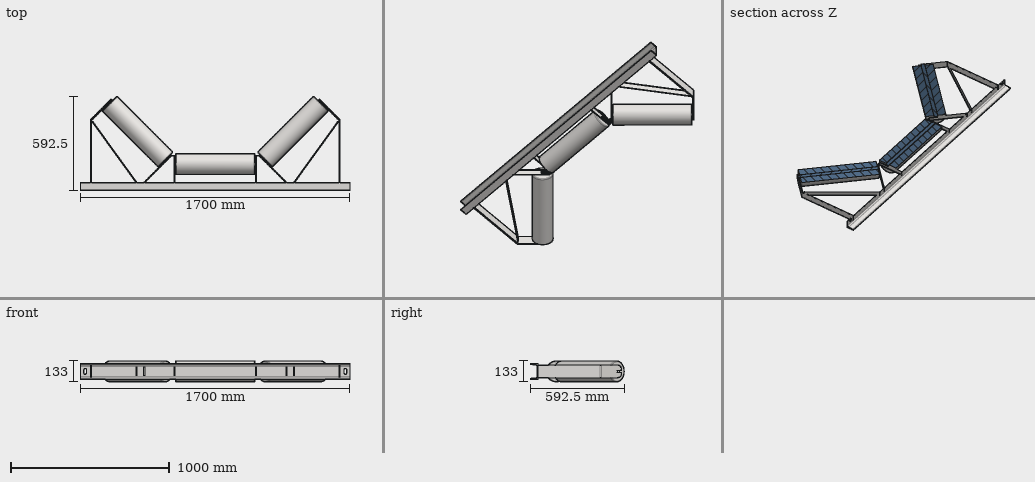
import cadquery as cq
import math

BEAM_LENGTH = 1700.0
BEAM_DEPTH = 50.0
BEAM_WIDTH = 100.0
WEB_THICKNESS = 6.0
FLANGE_THICKNESS = 8.0
FLANGE_SLOPE = 0.08
FLANGE_ROOT_RADIUS = 8.0
FLANGE_TIP_RADIUS = 4.2
MOUNT_SLOT_WIDTH = 15.0
MOUNT_SLOT_LENGTH = 35.0
MOUNT_SLOT_INSET = 30.0

ROLLER_LENGTH = 500.0
ROLLER_DIAMETER = 133.0
ROLLER_EDGE_RADIUS = 5.0
TROUGH_ANGLE = 45.0
CENTRE_ROLLER_Y = 165.0
WING_INNER_X = 313.0
WING_INNER_Y = 194.0
SHAFT_DIAMETER = 20.0
SHAFT_FLAT_WIDTH = 14.0
CENTRE_END_GAP = 3.0
WING_END_GAP = 4.2

INNER_WIDTH = 55.0
INNER_THICKNESS = 5.0
INNER_TOP_Y = 221.0

OUTER_WIDTH = 80.0
OUTER_THICKNESS = 8.0
OUTER_POST_X = 787.0
ARM_TIP_REACH = 27.0
ARM_TIP_RADIUS = 30.0
BEND_RADIUS = 15.0
STRUT_WIDTH = 55.0
STRUT_THICKNESS = 5.0
STRUT_FOOT_X = 496.0
STRUT_TOP_X = 775.0
STRUT_TOP_Y = 435.0

CENTRE_OVERHANG = CENTRE_END_GAP + INNER_THICKNESS
WING_INNER_OVERHANG = WING_END_GAP + INNER_THICKNESS
WING_OUTER_OVERHANG = WING_END_GAP + OUTER_THICKNESS
COS_TROUGH = math.cos(math.radians(TROUGH_ANGLE))
SIN_TROUGH = math.sin(math.radians(TROUGH_ANGLE))


def wing_point(along, across):
    """Point of the right wing, measured from its lower end face along and across its axis."""
    x = WING_INNER_X + along * COS_TROUGH - across * SIN_TROUGH
    y = WING_INNER_Y + along * SIN_TROUGH + across * COS_TROUGH
    return (x, y)


def cross_plane_at_x(x, along):
    """Point where the plane across the wing axis at that distance along meets the given X."""
    across = (WING_INNER_X + along * COS_TROUGH - x) / SIN_TROUGH
    return wing_point(along, across)


def cross_plane_at_y(y, along):
    """Point where the plane across the wing axis at that distance along meets the given Y."""
    across = (y - WING_INNER_Y - along * SIN_TROUGH) / COS_TROUGH
    return wing_point(along, across)


def place_on_wing(body):
    """Move a body whose lower roller face is at the origin, axis along X, onto the right wing."""
    return body.rotate((0, 0, 0), (0, 0, 1), TROUGH_ANGLE).translate((WING_INNER_X, WING_INNER_Y, 0))


def mirrored(body):
    return body.mirror("YZ")


def plate(points, width):
    """Strip with the given XY outline, centred on Z = 0."""
    return cq.Workplane("XY").polyline(points).close().extrude(width / 2, both=True)


def make_beam():
    half = BEAM_WIDTH / 2
    web_y = BEAM_DEPTH - WEB_THICKNESS
    taper = FLANGE_SLOPE * web_y / 2
    tip_z = half - FLANGE_THICKNESS + taper
    root_z = half - FLANGE_THICKNESS - taper
    beam = (
        cq.Workplane("YZ")
        .polyline([
            (BEAM_DEPTH, -half), (BEAM_DEPTH, half), (0, half), (0, tip_z),
            (web_y, root_z), (web_y, -root_z), (0, -tip_z), (0, -half),
        ])
        .close()
        .extrude(BEAM_LENGTH / 2, both=True)
    )
    for side in (-1, 1):
        root = cq.selectors.NearestToPointSelector((0, web_y, side * root_z))
        beam = beam.edges(root).fillet(FLANGE_ROOT_RADIUS)
        tip = cq.selectors.NearestToPointSelector((0, 0, side * tip_z))
        beam = beam.edges(tip).fillet(FLANGE_TIP_RADIUS)
    slot_x = BEAM_LENGTH / 2 - MOUNT_SLOT_INSET
    slots = (
        cq.Workplane("XZ")
        .pushPoints([(-slot_x, 0), (slot_x, 0)])
        .slot2D(MOUNT_SLOT_LENGTH, MOUNT_SLOT_WIDTH, 90)
        .extrude(-BEAM_DEPTH)
    )
    return beam.cut(slots)


def make_roller():
    roller = cq.Workplane("YZ").circle(ROLLER_DIAMETER / 2).extrude(ROLLER_LENGTH)
    roller = roller.faces("<X or >X").edges().fillet(ROLLER_EDGE_RADIUS)
    bore = cq.Workplane("YZ").circle(SHAFT_DIAMETER / 2).extrude(ROLLER_LENGTH)
    return roller.cut(bore)


def make_shaft(start_overhang, end_overhang):
    """Round bar with flats on its +Z and -Z sides wherever it leaves the roller."""
    length = start_overhang + ROLLER_LENGTH + end_overhang
    bar = cq.Workplane("YZ").workplane(offset=-start_overhang).circle(SHAFT_DIAMETER / 2).extrude(length)
    body = cq.Workplane("XY").box(
        ROLLER_LENGTH, SHAFT_DIAMETER, SHAFT_DIAMETER, centered=(False, True, True)
    )
    flatted = cq.Workplane("XY").box(
        length, SHAFT_DIAMETER, SHAFT_FLAT_WIDTH, centered=(False, True, True)
    ).translate((-start_overhang, 0, 0))
    return bar.intersect(body.union(flatted))


def make_support_slot(start, thickness, reach):
    """Open slot for a shaft end: its floor follows the shaft, its mouth is at +Y."""
    seat = cq.Workplane("YZ").circle(SHAFT_DIAMETER / 2).extrude(thickness)
    mouth = cq.Workplane("XY").box(thickness, reach, SHAFT_DIAMETER, centered=(False, False, True))
    flats = cq.Workplane("XY").box(
        thickness, 2 * (reach + SHAFT_DIAMETER), SHAFT_FLAT_WIDTH, centered=(False, True, True)
    )
    return seat.union(mouth).intersect(flats).translate((start, 0, 0))


def make_inner_support():
    post_inside = ROLLER_LENGTH / 2 + CENTRE_END_GAP
    post_outside = post_inside + INNER_THICKNESS
    near = -WING_END_GAP
    far = near - INNER_THICKNESS
    under_top = INNER_TOP_Y - INNER_THICKNESS
    support = plate([
        (post_inside, BEAM_DEPTH),
        (post_inside, INNER_TOP_Y),
        cross_plane_at_y(INNER_TOP_Y, near),
        cross_plane_at_y(BEAM_DEPTH, near),
        cross_plane_at_y(BEAM_DEPTH, far),
        cross_plane_at_y(under_top, far),
        (post_outside, under_top),
        (post_outside, BEAM_DEPTH),
    ], INNER_WIDTH)
    centre_slot = make_support_slot(post_inside, INNER_THICKNESS, INNER_TOP_Y - CENTRE_ROLLER_Y)
    wing_reach = (INNER_TOP_Y - WING_INNER_Y) / COS_TROUGH + SHAFT_DIAMETER
    wing_slot = make_support_slot(far, INNER_THICKNESS, wing_reach)
    bridge_end = cross_plane_at_y(INNER_TOP_Y, near)[0]
    bridge_slot = cq.Workplane("XY").box(
        bridge_end - post_inside, 2 * INNER_THICKNESS, SHAFT_FLAT_WIDTH, centered=(False, True, True)
    ).translate((post_inside, INNER_TOP_Y, 0))
    support = support.cut(bridge_slot)
    return support.cut(centre_slot.translate((0, CENTRE_ROLLER_Y, 0))).cut(place_on_wing(wing_slot))


def make_outer_support():
    near = ROLLER_LENGTH + WING_END_GAP
    far = near + OUTER_THICKNESS
    post_inside = OUTER_POST_X - OUTER_THICKNESS
    outer_bend = cross_plane_at_x(OUTER_POST_X, far)
    inner_bend = cross_plane_at_x(post_inside, near)
    support = plate([
        (OUTER_POST_X, BEAM_DEPTH),
        outer_bend,
        wing_point(far, ARM_TIP_REACH),
        wing_point(near, ARM_TIP_REACH),
        inner_bend,
        (post_inside, BEAM_DEPTH),
    ], OUTER_WIDTH)
    support = support.edges(cq.selectors.NearestToPointSelector((*outer_bend, 0))).fillet(BEND_RADIUS)
    tip_x, tip_y = wing_point((near + far) / 2, ARM_TIP_REACH)
    for side in (-1, 1):
        corner = cq.selectors.NearestToPointSelector((tip_x, tip_y, side * OUTER_WIDTH / 2))
        support = support.edges(corner).fillet(ARM_TIP_RADIUS)
    slot = make_support_slot(near, OUTER_THICKNESS, ARM_TIP_REACH)
    return support.cut(place_on_wing(slot))


def make_strut():
    half = STRUT_THICKNESS / 2
    rise = STRUT_TOP_Y - BEAM_DEPTH
    run = STRUT_TOP_X - STRUT_FOOT_X
    half_foot = half * math.hypot(rise, run) / rise
    return plate([
        (STRUT_FOOT_X - half_foot, BEAM_DEPTH),
        (STRUT_TOP_X - half_foot, STRUT_TOP_Y),
        (STRUT_TOP_X + half_foot, STRUT_TOP_Y),
        (STRUT_FOOT_X + half_foot, BEAM_DEPTH),
    ], STRUT_WIDTH)


def make_frame():
    frame = make_beam()
    for part in (make_inner_support(), make_outer_support(), make_strut()):
        frame = frame.union(part).union(mirrored(part))
    return frame


def place_in_centre(body):
    return body.translate((-ROLLER_LENGTH / 2, CENTRE_ROLLER_Y, 0))


frame = make_frame()

right_roller = place_on_wing(make_roller())
rollers = [place_in_centre(make_roller()), right_roller, mirrored(right_roller)]

centre_shaft = place_in_centre(make_shaft(CENTRE_OVERHANG, CENTRE_OVERHANG))
right_shaft = place_on_wing(make_shaft(WING_INNER_OVERHANG, WING_OUTER_OVERHANG))
shafts = [centre_shaft, right_shaft, mirrored(right_shaft)]

result = cq.Compound.makeCompound([body.val() for body in [frame, *rollers, *shafts]])